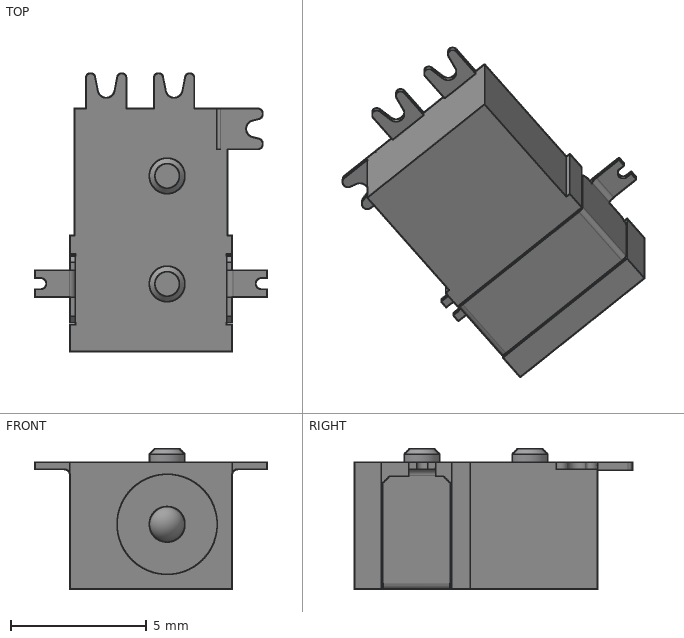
import cadquery as cq
import math


total_length = 10.3
body_length = 9.0
body_height = 4.7
front_width = 6.0
rear_width = 5.66
front_length = 4.3

channel_start = 1.0
channel_end = 3.6
channel_depth = 0.21

bore_x = 0.6
bore_z = 2.4
bore_diameter = 3.71
bore_depth = 7.0
pin_radius = 0.66

peg_positions = [2.5, 6.5]
peg_radius = 0.66
peg_height = 0.5
peg_chamfer = 0.21

clip_gap = 0.06
clip_shoulder_drop = 0.52
clip_corner = 0.25
clip_bend_radius = 0.2
tab_span = 8.6
tab_width = 1.0
tab_y = 2.51
tab_thickness = 0.27
tab_slot_width = 0.4
tab_slot_depth = 0.42
tab_bend_radius = 0.23
tab_fillet = 0.21

lug_slot_radius = 0.31
rear_lug_centers = [-1.66, 0.85]
rear_lug_width = 1.5
rear_lug_thickness = 0.3
rear_lug_tip_radius = 0.18
rear_lug_slot_depth = 0.91
side_lug_reach = 4.14
side_lug_width = 1.52
side_lug_thickness = 0.27
side_lug_tip_radius = 0.21
side_lug_slot_depth = 0.62
side_lug_bend_x = 2.44
side_lug_bend_radius = 0.11


def box(x_range, y_range, z_range):
    """Axis-aligned box from (low, high) limits."""
    sizes = [high - low for low, high in (x_range, y_range, z_range)]
    corner = (x_range[0], y_range[0], z_range[0])
    return cq.Workplane("XY").box(*sizes, centered=False).translate(corner)


def make_housing():
    front = box((-front_width / 2, front_width / 2), (0, front_length), (0, body_height))
    rear = box((-rear_width / 2, rear_width / 2), (0, body_length), (0, body_height))
    channel_y = (channel_start, channel_end)
    housing = front.union(rear)
    housing = housing.cut(box((-front_width / 2, front_width / 2), channel_y, (0, channel_depth)))
    floor_x = front_width / 2 - channel_depth
    for x_range in ((-front_width / 2, -floor_x), (floor_x, front_width / 2)):
        housing = housing.cut(box(x_range, channel_y, (0, body_height)))
    return housing


def make_bore():
    """Round bore around a centre pin whose domed end is level with the front face."""
    bore_plane = cq.Workplane("XZ", origin=(bore_x, 0, bore_z))
    bore = bore_plane.circle(bore_diameter / 2).extrude(-bore_depth)
    pin = bore_plane.workplane(offset=-pin_radius).circle(pin_radius).extrude(pin_radius - bore_depth)
    dome = cq.Workplane("XY").sphere(pin_radius).translate((bore_x, pin_radius, bore_z))
    return bore.cut(pin.union(dome))


def make_peg(y):
    peg = cq.Workplane("XY", origin=(bore_x, y, body_height)).circle(peg_radius).extrude(peg_height)
    return peg.faces(">Z").chamfer(peg_chamfer)


def make_clip_sheet():
    """Sheet wrapped under the housing and up both sides, with clipped upper corners."""
    start = channel_start + clip_gap
    end = channel_end - clip_gap
    half_width = front_width / 2
    top = body_height - clip_shoulder_drop
    sheet = box((-half_width, half_width), (start, end), (0, top))
    sheet = sheet.edges("|X and >Z").chamfer(clip_corner)
    sheet = sheet.edges("|Y and <Z").fillet(clip_bend_radius)
    inner = half_width - channel_depth
    return sheet.cut(box((-inner, inner), (start, end), (channel_depth, top)))


def make_right_tab():
    """Bent tab rising from the clip and running outwards, with a round-ended slot in its tip."""
    inner_x = front_width / 2 - channel_depth
    outer_x = front_width / 2
    tip_x = tab_span / 2
    shoulder_z = body_height - clip_shoulder_drop
    under_z = body_height - tab_thickness
    tab = (
        cq.Workplane("XZ", origin=(0, tab_y, 0))
        .moveTo(inner_x, shoulder_z)
        .lineTo(inner_x, body_height - tab_bend_radius)
        .radiusArc((inner_x + tab_bend_radius, body_height), tab_bend_radius)
        .lineTo(tip_x, body_height)
        .lineTo(tip_x, under_z)
        .lineTo(outer_x + tab_fillet, under_z)
        .radiusArc((outer_x, under_z - tab_fillet), -tab_fillet)
        .lineTo(outer_x, shoulder_z)
        .close()
        .extrude(tab_width / 2, both=True)
    )
    slot = (
        cq.Workplane("XY", origin=(tip_x, tab_y, under_z))
        .slot2D(2 * tab_slot_depth, tab_slot_width)
        .extrude(tab_thickness)
    )
    return tab.cut(slot)


def make_lug(length, width, thickness, tip_radius, slot_depth):
    """Forked lug along +Y from Y = 0, top at Z = 0.

    Each prong ends in a round tip joined by a straight tangent flank to the round slot bottom.
    """
    tip_x = width / 2 - tip_radius
    tip_y = length - tip_radius
    slot_y = length - slot_depth + lug_slot_radius
    rise = tip_y - slot_y
    flank_angle = math.atan2(rise, tip_x) - math.acos(
        (tip_radius + lug_slot_radius) / math.hypot(tip_x, rise)
    )
    across = math.cos(flank_angle)
    along = math.sin(flank_angle)
    flank_top = (tip_x - tip_radius * across, tip_y - tip_radius * along)
    flank_bottom = (lug_slot_radius * across, slot_y + lug_slot_radius * along)
    return (
        cq.Workplane("XY")
        .moveTo(-width / 2, 0)
        .lineTo(width / 2, 0)
        .lineTo(width / 2, tip_y)
        .threePointArc((tip_x, length), flank_top)
        .lineTo(*flank_bottom)
        .threePointArc((0, length - slot_depth), (-flank_bottom[0], flank_bottom[1]))
        .lineTo(-flank_top[0], flank_top[1])
        .threePointArc((-tip_x, length), (-width / 2, tip_y))
        .close()
        .extrude(-thickness)
    )


def make_bend_groove():
    """Groove beside the rounded bend of the side lug: one upright wall and one convex quarter round."""
    bottom_z = body_height - side_lug_bend_radius
    return (
        cq.Workplane("XZ", origin=(0, body_length, 0))
        .moveTo(side_lug_bend_x, bottom_z)
        .radiusArc((side_lug_bend_x + side_lug_bend_radius, body_height), side_lug_bend_radius)
        .lineTo(side_lug_bend_x, body_height)
        .close()
        .extrude(side_lug_width)
    )


result = make_housing().cut(make_bore())
for peg_y in peg_positions:
    result = result.union(make_peg(peg_y))

right_tab = make_right_tab()
result = result.union(make_clip_sheet()).union(right_tab).union(right_tab.mirror("YZ"))

rear_lug = make_lug(
    total_length - body_length,
    rear_lug_width,
    rear_lug_thickness,
    rear_lug_tip_radius,
    rear_lug_slot_depth,
)
for lug_x in rear_lug_centers:
    result = result.union(rear_lug.translate((lug_x, body_length, body_height)))

side_lug = make_lug(
    side_lug_reach - rear_width / 2,
    side_lug_width,
    side_lug_thickness,
    side_lug_tip_radius,
    side_lug_slot_depth,
).rotate((0, 0, 0), (0, 0, 1), -90)
side_lug_y = body_length - side_lug_width / 2
result = result.union(side_lug.translate((rear_width / 2, side_lug_y, body_height)))
result = result.cut(make_bend_groove())